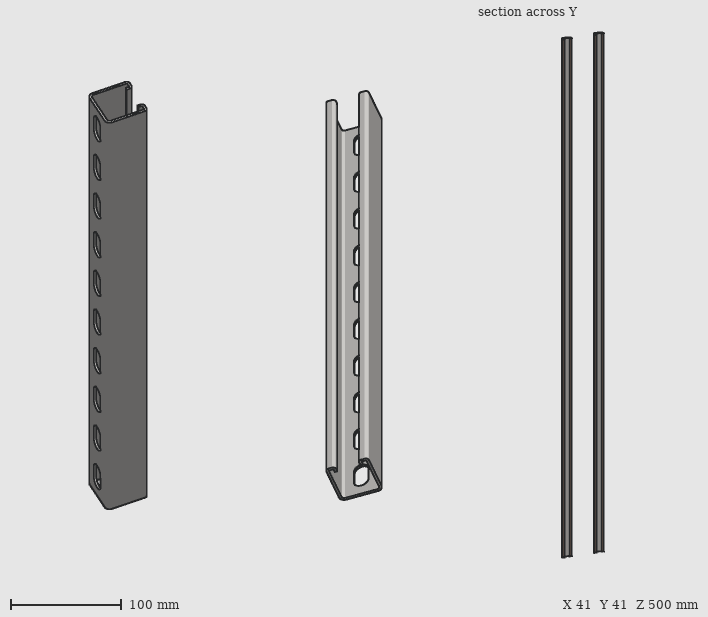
import cadquery as cq

length = 500.0
width = 41.0
depth = 41.0

wall = 2.5
back_bend_radius = 5.0
lip_bend_radius = 3.0
lip_width = 9.5
lip_return = 6.0

slot_count = 10
slot_pitch = length / slot_count
slot_width = 14.0
slot_length = 28.0

side_x = width / 2
back_y = -depth / 2
front_y = depth / 2
lip_edge_x = side_x - lip_width
return_y = front_y - lip_return


def upright_edge(x, y):
    """Selector for the upright edge that passes through the given X and Y."""
    return cq.selectors.NearestToPointSelector((x, y, 0))


def half_channel():
    """Web, side wall, lip and lip return on the +X side, with rounded bends."""
    sheet = (
        cq.Workplane("XY", origin=(0, 0, -length / 2))
        .moveTo(0, back_y)
        .lineTo(side_x, back_y)
        .lineTo(side_x, front_y)
        .lineTo(lip_edge_x, front_y)
        .lineTo(lip_edge_x, return_y)
        .lineTo(lip_edge_x + wall, return_y)
        .lineTo(lip_edge_x + wall, front_y - wall)
        .lineTo(side_x - wall, front_y - wall)
        .lineTo(side_x - wall, back_y + wall)
        .lineTo(0, back_y + wall)
        .close()
        .extrude(length)
    )
    bends = [
        (side_x, back_y, -wall, wall, back_bend_radius),
        (side_x, front_y, -wall, -wall, lip_bend_radius),
        (lip_edge_x, front_y, wall, -wall, lip_bend_radius),
    ]
    for x, y, step_x, step_y, radius in bends:
        sheet = sheet.edges(upright_edge(x, y)).fillet(radius)
        sheet = sheet.edges(upright_edge(x + step_x, y + step_y)).fillet(radius - wall)
    return sheet


def slots():
    """Evenly spaced upright slot cutters, long enough to pass through the back web."""
    return (
        cq.Workplane("XZ", origin=(0, back_y + wall / 2, 0))
        .rarray(5, slot_pitch, 1, slot_count)
        .slot2D(slot_length, slot_width, 90)
        .extrude(wall, both=True)
    )


right_half = half_channel()
channel = right_half.union(right_half.mirror("YZ"))
result = channel.cut(slots())